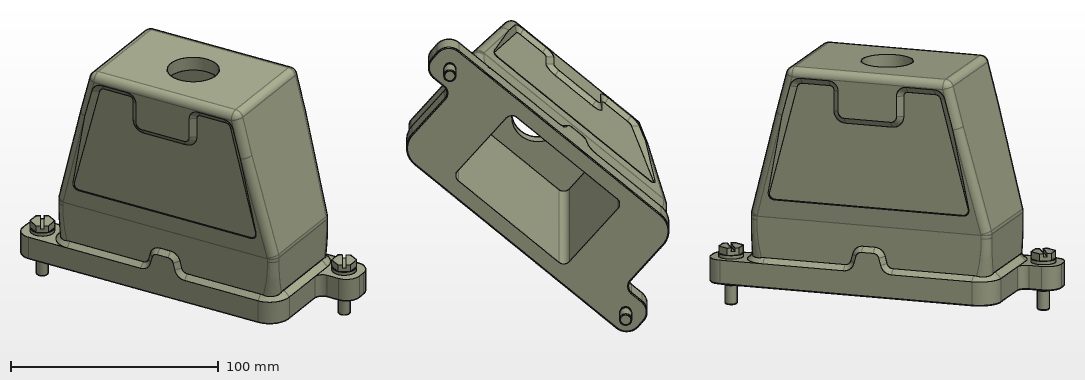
import cadquery as cq
import math

plate_half_length = 64.4
plate_half_width = 29.0
plate_height = 12.0
plate_corner_radius = 11.0
plate_slope_height = 3.0
underside_chamfer = 0.5

ear_end = 82.5
ear_width = 18.6
ear_corner_radius = 7.5
ear_root_radius = 4.3

hood_top = 110.4
hood_half_length = 61.2
hood_half_width = 26.5
end_bend_height = 35.6
flare_start_height = 34.8
flare_end_height = 86.6
top_half_length = 41.5
hood_edge_radius = 4.1
hood_root_radius = 7.0
hood_mid_radius = 4.6
hood_mid_height = 23.1
straight_height = 33.0
bend_radius = 6.6

cavity_half_length = 35.5
cavity_half_width = 21.5
cavity_corner_radius = 3.6
roof_thickness = 7.0
entry_diameter = 25.0

bump_top = 22.0
bump_top_half_length = 5.3
bump_foot_half_length = 8.0
bump_top_radius = 3.0
bump_foot_radius = 5.6
bump_base_half_length = 14.8
bump_depth = 2.6

panel_floor_half_width = 26.7
panel_bottom = 44.0
panel_top = 102.8
panel_bottom_half_length = 51.5
panel_corner_radius = 2.6
panel_wall_run = 3.0
tongue_bottom = 84.8
tongue_half_length = 17.8
tongue_tip_radius = 6.0
tongue_root_radius = 2.0

screw_x = 72.8
screw_y = 19.6
washer_diameter = 12.0
washer_thickness = 1.6
head_across_corners = 12.0
head_height = 3.6
slot_width = 1.6
slot_depth = 1.6
slot_angle = -60
pin_diameter = 6.0
neck_diameter = 5.3
neck_length = 1.5
pin_reach = 11.5
pin_chamfer = 0.5

far = 1650.0
pick_margin = 0.2

end_lean = (hood_half_length - top_half_length) / (hood_top - end_bend_height)


def with_half_turn_copy(shape):
    """Join a shape with its copy turned half a turn about the Z axis."""
    return shape.union(shape.rotate((0, 0, 0), (0, 0, 1), 180))


def edges_near(x=None, y=None, z=None):
    """Selector for edges whose middle lies at the given coordinates; those left out are free."""
    low = [-far if value is None else value - pick_margin for value in (x, y, z)]
    high = [far if value is None else value + pick_margin for value in (x, y, z)]
    return cq.selectors.BoxSelector(tuple(low), tuple(high))


def rounded_rectangle(half_length, half_width, radius):
    return cq.Sketch().rect(2 * half_length, 2 * half_width).vertices().fillet(radius)


def make_plate():
    outline = rounded_rectangle(plate_half_length, plate_half_width, plate_corner_radius)
    plate = cq.Workplane("XY").placeSketch(outline).extrude(plate_height)
    ear = (
        cq.Workplane("XY")
        .rect(ear_end, ear_width)
        .extrude(plate_height)
        .translate((-ear_end / 2, ear_width / 2 - plate_half_width, 0))
        .edges("|Z and <X")
        .fillet(ear_corner_radius)
    )
    plate = plate.union(with_half_turn_copy(ear))
    ear_inner_y = plate_half_width - ear_width
    for side in (-1, 1):
        root = edges_near(x=side * plate_half_length, y=side * ear_inner_y)
        plate = plate.edges("|Z").edges(root).fillet(ear_root_radius)
    plate = plate.faces("<Z").chamfer(underside_chamfer)
    slope = (
        cq.Workplane("XY", origin=(0, 0, plate_height))
        .placeSketch(outline)
        .extrude(plate_slope_height, taper=45)
    )
    return plate.union(slope)


def widening_block(half_corners, y, depth, widening):
    """Block on the -Y side whose outline, symmetric about X = 0, grows evenly by `widening` over its depth.

    half_corners lists (x, z, corner radius) along the half with positive x. The outline is given
    at y; a positive depth runs from there towards -Y, a negative one towards +Y.
    """
    points = [(x, z) for x, z, _ in half_corners]
    points += [(-x, z) for x, z in reversed(points)]
    block = cq.Workplane("XZ", origin=(0, y, 0)).polyline(points).close().extrude(abs(depth))
    for x, z, radius in half_corners:
        if radius > 0:
            for side in (-1, 1):
                block = block.edges("|Y").edges(edges_near(x=side * x, z=z)).fillet(radius)
    outline = block.faces(">Y").wires()
    taper = math.degrees(math.atan2(widening, abs(depth)))
    return cq.Workplane("XZ", origin=(0, y, 0)).add(outline).toPending().extrude(depth, taper=-taper)


def make_bump():
    """Latch bump on the -Y side; its rim slopes at 45 degrees back to the hood."""
    corners = [
        (bump_base_half_length, plate_height / 2, 0),
        (bump_base_half_length, plate_height, 0),
        (bump_foot_half_length, plate_height, bump_foot_radius),
        (bump_top_half_length, bump_top, bump_top_radius),
    ]
    return widening_block(corners, -plate_half_width, -bump_depth, bump_depth)


def make_hood():
    """Hood: a lower part with corners widening to the plate, and a leaning upper part."""
    sections = []
    for height, radius in (
        (plate_height, hood_root_radius),
        (hood_mid_height, hood_mid_radius),
        (straight_height, hood_edge_radius),
    ):
        section = rounded_rectangle(hood_half_length, hood_half_width, radius)
        sections.append(section.moved(cq.Location(cq.Vector(0, 0, height))))
    lower = cq.Workplane("XY").placeSketch(*sections).loft()

    front = [
        (hood_half_length, straight_height),
        (hood_half_length, end_bend_height),
        (top_half_length, hood_top),
    ]
    front += [(-x, z) for x, z in reversed(front)]
    end = [
        (hood_half_width, straight_height),
        (hood_half_width, flare_start_height),
        (plate_half_width, flare_end_height),
        (plate_half_width, hood_top),
    ]
    end += [(-y, z) for y, z in reversed(end)]
    front_slab = cq.Workplane("XZ").polyline(front).close().extrude(2 * plate_half_width, both=True)
    front_slab = front_slab.edges("|Y").edges(edges_near(z=end_bend_height)).fillet(bend_radius)
    end_slab = cq.Workplane("YZ").polyline(end).close().extrude(2 * hood_half_length, both=True)
    upper = front_slab.intersect(end_slab)
    rim = upper.faces(">Z").edges()
    upper = upper.edges("not(<Z)").edges("not(|X)").edges("not(|Y)").add(rim).fillet(hood_edge_radius)
    return lower.union(upper)


def make_panel_recess():
    """Recess on the -Y side, with a tongue hanging into it from its top edge."""
    panel_top_half_length = panel_bottom_half_length - end_lean * (panel_top - panel_bottom)
    corners = [
        (panel_bottom_half_length, panel_bottom, panel_corner_radius),
        (panel_top_half_length, panel_top, panel_corner_radius),
        (tongue_half_length, panel_top, tongue_root_radius),
        (tongue_half_length, tongue_bottom, tongue_tip_radius),
    ]
    depth = plate_half_width - panel_floor_half_width
    return widening_block(corners, -panel_floor_half_width, depth, panel_wall_run)


def make_cavity():
    outline = rounded_rectangle(cavity_half_length, cavity_half_width, cavity_corner_radius)
    cavity = cq.Workplane("XY").placeSketch(outline).extrude(hood_top - roof_thickness)
    entry = cq.Workplane("XY").circle(entry_diameter / 2).extrude(hood_top)
    return cavity.union(entry)


def make_screw():
    """Screw standing on the ear at (-screw_x, -screw_y)."""
    seat = cq.Workplane("XY", origin=(0, 0, plate_height))
    washer = seat.circle(washer_diameter / 2).extrude(washer_thickness)
    head = (
        cq.Workplane("XY", origin=(0, 0, plate_height + washer_thickness))
        .transformed(rotate=(0, 0, 90))
        .polygon(6, head_across_corners)
        .extrude(head_height)
    )
    head_top = plate_height + washer_thickness + head_height
    slot = (
        cq.Workplane("XY", origin=(0, 0, head_top))
        .transformed(rotate=(0, 0, slot_angle))
        .rect(2 * head_across_corners, slot_width)
        .extrude(-slot_depth)
    )
    neck = seat.circle(neck_diameter / 2).extrude(-plate_height - neck_length)
    pin = (
        cq.Workplane("XY", origin=(0, 0, -pin_reach))
        .circle(pin_diameter / 2)
        .extrude(pin_reach - neck_length)
        .faces("<Z or >Z")
        .chamfer(pin_chamfer)
    )
    screw = washer.union(head.cut(slot)).union(neck).union(pin)
    return screw.translate((-screw_x, -screw_y, 0))


def on_both_screws(screw):
    return screw.union(screw.translate((2 * screw_x, 2 * screw_y, 0)))


body = make_plate().union(make_hood()).union(with_half_turn_copy(make_bump()))
body = body.cut(with_half_turn_copy(make_panel_recess())).cut(make_cavity())
result = body.union(on_both_screws(make_screw()))